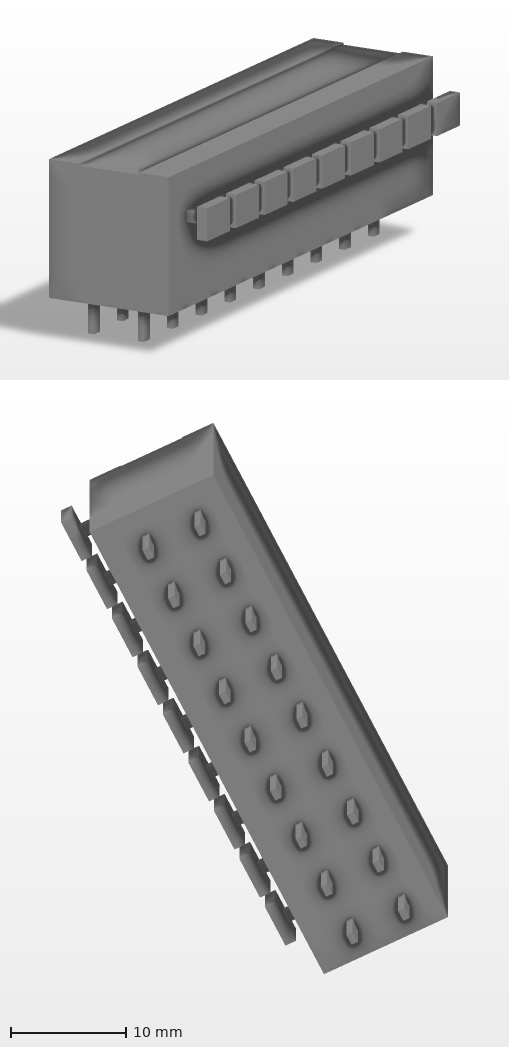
import cadquery as cq

row_length = 46.0
pole_count = 9
end_plate_thickness = 1.0
pole_pitch = (row_length - end_plate_thickness) / pole_count

overall_height = 16.0
housing_width = 12.0
housing_height = 12.5
recess_width = 6.0
recess_depth = 0.2

pin_length = overall_height - housing_height
pin_thickness = 0.6
pin_breadth = 1.0
pin_spacing = 5.0
first_pin_x = 2.7
pin_y_in_pole = 2.1

overall_width = 15.0
button_thickness = 1.0
button_breadth = 4.0
button_height = 3.0
stem_size = 1.0
stem_length = overall_width - housing_width - button_thickness
button_z = 8.3


def box_from(x, y, z, size_x, size_y, size_z):
    """Box that starts at x and z and is centred on y."""
    return (
        cq.Workplane("XY")
        .box(size_x, size_y, size_z, centered=(False, True, False))
        .translate((x, y, z))
    )


def make_housing(thickness, start_y):
    """Block with a shallow recess along its top, from start_y towards +Y."""
    middle_y = start_y + thickness / 2
    block = box_from(0, middle_y, 0, housing_width, thickness, housing_height)
    recess = box_from(
        (housing_width - recess_width) / 2,
        middle_y,
        housing_height - recess_depth,
        recess_width,
        thickness,
        recess_depth,
    )
    return block.cut(recess)


def make_pin(x, y):
    """Flat solder pin that hangs below the housing, centred on x and y."""
    return box_from(x - pin_thickness / 2, y, -pin_length, pin_thickness, pin_breadth, pin_length)


def make_button(y):
    """Square stem with a rectangular push plate at its outer end."""
    stem = box_from(housing_width, y, button_z - stem_size / 2, stem_length, stem_size, stem_size)
    plate = box_from(
        housing_width + stem_length,
        y,
        button_z - button_height / 2,
        button_thickness,
        button_breadth,
        button_height,
    )
    return stem.union(plate)


def make_pole(start_y):
    """One terminal: housing, two solder pins and a push button."""
    pole = make_housing(pole_pitch, start_y)
    for pin_x in (first_pin_x, first_pin_x + pin_spacing):
        pole = pole.union(make_pin(pin_x, start_y + pin_y_in_pole))
    return pole.union(make_button(start_y + pole_pitch / 2))


end_plate = make_housing(end_plate_thickness, 0)

poles = []
for index in range(pole_count):
    poles.append(make_pole(end_plate_thickness + index * pole_pitch).val())

result = cq.Compound.makeCompound([end_plate.val(), *poles])